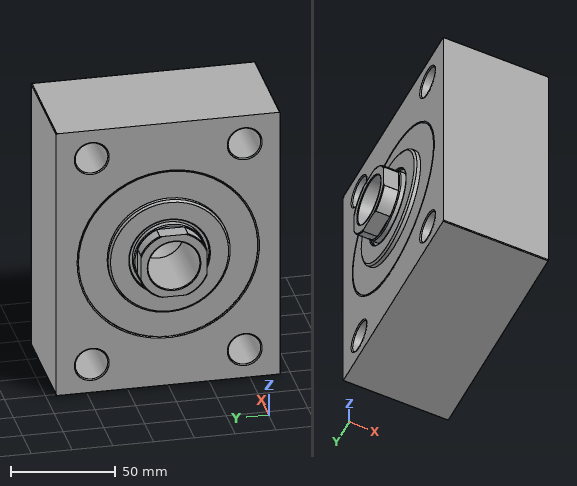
import cadquery as cq
import math

block_depth = 56.0
block_width = 110.0
block_height = 140.0
edge_chamfer = 0.4
bore_chamfer = 0.7

hole_diameter = 16.0
hole_chamfer = 0.5
hole_spacing_y = 75.0
hole_spacing_z = 110.0

plug_diameter = 88.0
plug_depth = 42.0
boss_diameter = 59.9
boss_height = 3.0
boss_chamfer = 1.0
recess_diameter = 39.2
recess_depth = 1.4
recess_chamfer = 0.4

shank_diameter = 36.0
shank_projection = 5.0
shank_chamfer = 0.5
head_length = 8.0
head_diameter = 35.3
head_chamfer = 0.4
flat_to_flat = 32.5
rod_front = -(shank_projection + head_length)

socket_diameter = 25.5
socket_depth = 35.0
socket_chamfer = 0.4
socket_tip_angle = 118.0


def disc(diameter, x_start, x_end):
    """Solid cylinder on the X axis between two X positions."""
    return cq.Workplane("YZ", origin=(x_start, 0, 0)).circle(diameter / 2).extrude(x_end - x_start)


def cone(start_diameter, end_diameter, x_start, x_end):
    """Solid cone, or truncated cone, on the X axis between two X positions."""
    profile = [
        (x_start, 0),
        (x_start, start_diameter / 2),
        (x_end, end_diameter / 2),
    ]
    if end_diameter > 0:
        profile.append((x_end, 0))
    return cq.Workplane("XY").polyline(profile).close().revolve(360, (0, 0, 0), (1, 0, 0))


def chamfered_bore(diameter, chamfer, x_start, depth):
    """Cutting tool for a round hole with a 45 degree chamfer at its mouth."""
    mouth = cone(diameter + 2 * chamfer, diameter, x_start, x_start + chamfer)
    return disc(diameter, x_start, x_start + depth).union(mouth)


def make_block():
    block = cq.Workplane("XY").box(block_depth, block_width, block_height, centered=(False, True, True))
    block = block.edges("|X").chamfer(edge_chamfer)
    block = block.cut(chamfered_bore(plug_diameter, bore_chamfer, 0, plug_depth))
    hole = chamfered_bore(hole_diameter, hole_chamfer, 0, block_depth)
    for hole_y in (-hole_spacing_y / 2, hole_spacing_y / 2):
        for hole_z in (-hole_spacing_z / 2, hole_spacing_z / 2):
            block = block.cut(hole.translate((0, hole_y, hole_z)))
    return block


def make_gland():
    boss = disc(boss_diameter, -boss_height, 0).faces("<X").chamfer(boss_chamfer)
    gland = disc(plug_diameter, 0, plug_depth).union(boss)
    gland = gland.cut(disc(shank_diameter, -boss_height, plug_depth))
    return gland.cut(chamfered_bore(recess_diameter, recess_chamfer, -boss_height, recess_depth))


def make_rod_head():
    """Chamfered round head trimmed to four wrench flats."""
    head = disc(head_diameter, rod_front, -shank_projection).faces("<X").chamfer(head_chamfer)
    square = cq.Workplane("YZ", origin=(rod_front, 0, 0)).rect(flat_to_flat, flat_to_flat).extrude(head_length)
    return head.intersect(square)


def make_socket():
    """Cutting tool for the blind socket with its conical drill tip."""
    tip_start = rod_front + socket_depth
    tip_length = socket_diameter / 2 / math.tan(math.radians(socket_tip_angle / 2))
    tip = cone(socket_diameter, 0, tip_start, tip_start + tip_length)
    return chamfered_bore(socket_diameter, socket_chamfer, rod_front, socket_depth).union(tip)


def make_rod():
    shank = disc(shank_diameter, -shank_projection, plug_depth).faces("<X").chamfer(shank_chamfer)
    return shank.union(make_rod_head()).cut(make_socket())


block = make_block()
gland = make_gland()
rod = make_rod()
result = cq.Compound.makeCompound([block.solids().val(), gland.solids().val(), rod.solids().val()])